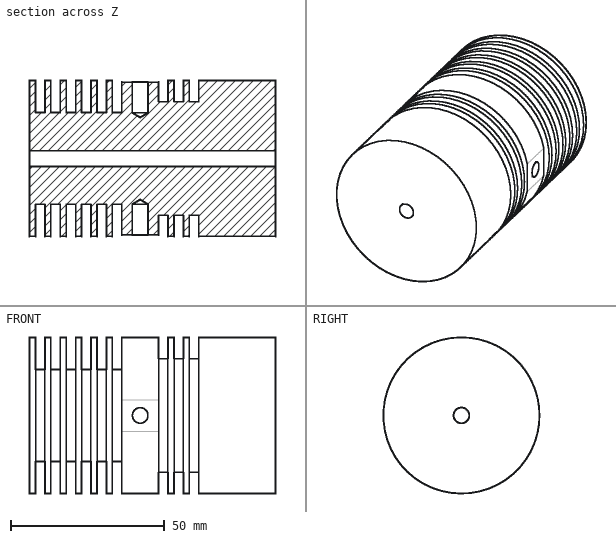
import cadquery as cq
import math

length = 80.0
outer_diameter = 50.8
bore_diameter = 5.0

fin_thickness = 2.0
front_fin_count = 6
front_section_length = 30.0
fin_pitch = front_section_length / front_fin_count
fin_gap = fin_pitch - fin_thickness
rear_fin_count = 2
front_core_diameter = 30.0
rear_core_diameter = 37.0

collar_start = front_section_length
collar_length = 12.0
collar_end = collar_start + collar_length
collar_middle = collar_start + collar_length / 2

flat_width = 10.2
flat_offset = math.sqrt((outer_diameter / 2) ** 2 - (flat_width / 2) ** 2)
radial_hole_diameter = 5.0
radial_hole_depth = 10.0
drill_tip_angle = 118.0


def disc(start, thickness, diameter):
    """Solid cylinder along X, beginning at the given X position."""
    return cq.Workplane("YZ", origin=(start, 0, 0)).circle(diameter / 2).extrude(thickness)


def groove(start, core_diameter):
    """Ring to remove between neighbouring fins."""
    return disc(start, fin_gap, outer_diameter).cut(disc(start, fin_gap, core_diameter))


body = disc(0, length, outer_diameter)

for index in range(front_fin_count):
    body = body.cut(groove(index * fin_pitch + fin_thickness, front_core_diameter))

for index in range(rear_fin_count + 1):
    body = body.cut(groove(collar_end + index * fin_pitch, rear_core_diameter))

body = body.cut(disc(0, length, bore_diameter))


def collar_flat():
    """Block that shaves a flat onto the -Y side of the collar."""
    depth = outer_diameter / 2 - flat_offset
    return cq.Workplane("XY").box(collar_length, depth, outer_diameter).translate(
        (collar_middle, -flat_offset - depth / 2, 0)
    )


def drilled_hole():
    """Blind hole with a conical tip, entering through the -Y flat."""
    radius = radial_hole_diameter / 2
    tip_length = radius / math.tan(math.radians(drill_tip_angle / 2))
    bottom = -flat_offset + radial_hole_depth
    profile = (
        cq.Workplane("XY", origin=(collar_middle, 0, 0))
        .moveTo(0, -outer_diameter / 2)
        .lineTo(radius, -outer_diameter / 2)
        .lineTo(radius, bottom)
        .lineTo(0, bottom + tip_length)
        .close()
    )
    return profile.revolve(360, (0, 0), (0, 1))


flat_and_hole = collar_flat().union(drilled_hole())
body = body.cut(flat_and_hole)
result = body.cut(flat_and_hole.mirror("XZ"))